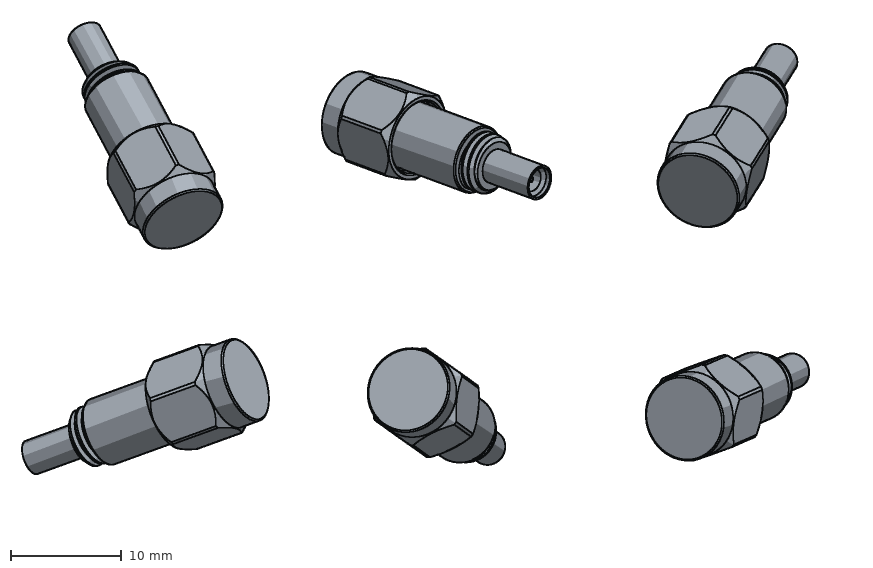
import cadquery as cq
import math


thread_start = 5.5
body_start = 7.5
nut_start = 14.86
nut_end = 21.1
total_length = 23.19

tube_radius = 1.6
mouth_radius = 1.4
mouth_depth = 0.45
bore_radius = 1.02
bore_taper_end = 0.75
bore_depth = 3.0
contact_base_radius = 0.385
contact_base_length = 0.8
pin_radius = 0.27
pin_length = 2.0
pin_tip_base_radius = 0.17
pin_tip_radius = 0.05
pin_tip_length = 0.15

thread_radius = 2.76
thread_root_radius = 2.3
thread_lead_radius = 2.27
thread_pitch = 0.75
thread_crest_width = 0.2
thread_root_width = 0.1
groove_top_station = 6.01
groove_clearance = 0.1
groove_start = thread_start - thread_pitch
groove_length = body_start + thread_pitch - groove_start

body_radius = 3.15
body_chamfer = 0.13

nut_across_flats = 7.9375
nut_corner_radius = 4.495
nut_rotation = 7.5
nut_chamfer_length = 0.7
collar_radius = 3.91
collar_chamfer = 0.14
recess_radius = 3.39
recess_mouth_radius = 3.55
recess_depth = 1.0


def revolve_profile(points):
    """Solid of revolution about X from (x, radius) points; the axis closes the outline."""
    return cq.Workplane("XY").polyline(points).close().revolve(360, (0, 0, 0), (1, 0, 0))


def cylinder(start, end, radius):
    return cq.Workplane("YZ", origin=(start, 0, 0)).circle(radius).extrude(end - start)


def make_thread_groove():
    """Trapezoidal groove swept along a helix about Z, then turned onto X."""
    outer_radius = thread_radius + groove_clearance
    root_half = thread_root_width / 2
    crest_gap_half = (thread_pitch - thread_crest_width) / 2
    flank_slope = (crest_gap_half - root_half) / (thread_radius - thread_root_radius)
    outer_half = root_half + flank_slope * (outer_radius - thread_root_radius)
    helix = cq.Wire.makeHelix(thread_pitch, groove_length, thread_root_radius)
    groove = (
        cq.Workplane("XZ")
        .polyline([
            (thread_root_radius, -root_half),
            (outer_radius, -outer_half),
            (outer_radius, outer_half),
            (thread_root_radius, root_half),
        ])
        .close()
        .sweep(cq.Workplane(obj=helix), isFrenet=True)
    )
    turn_to_station = 180 - 360 * (groove_top_station - groove_start) / thread_pitch
    return (
        groove.rotate((0, 0, 0), (0, 1, 0), 90)
        .rotate((0, 0, 0), (1, 0, 0), turn_to_station)
        .translate((groove_start, 0, 0))
    )


def make_thread():
    """Threaded length: a longer blank takes the whole groove, then is trimmed to the lead-in cone."""
    blank_start = groove_start - thread_pitch
    blank_end = groove_start + groove_length + thread_pitch
    grooved = cylinder(blank_start, blank_end, thread_radius).cut(make_thread_groove())
    thread_length = body_start - thread_start
    envelope = revolve_profile([
        (thread_start, 0),
        (thread_start, thread_lead_radius),
        (body_start, thread_lead_radius + thread_length),
        (body_start, 0),
    ])
    return grooved.intersect(envelope)


def make_body():
    return cylinder(body_start, nut_end, body_radius).faces("<X").chamfer(body_chamfer)


def make_nut():
    hex_circumdiameter = nut_across_flats / math.cos(math.pi / 6)
    hexagon = (
        cq.Workplane("YZ", origin=(nut_start, 0, 0))
        .polygon(6, hex_circumdiameter)
        .extrude(nut_end - nut_start)
        .rotate((0, 0, 0), (1, 0, 0), 90 - nut_rotation)
    )
    turned = revolve_profile([
        (nut_start, 0),
        (nut_start, collar_radius),
        (nut_start + nut_chamfer_length, nut_corner_radius),
        (nut_end - nut_chamfer_length, nut_corner_radius),
        (nut_end, collar_radius),
        (nut_end, 0),
    ])
    collar = cylinder(nut_end, total_length, collar_radius).faces(">X").chamfer(collar_chamfer)
    mouth_chamfer = recess_mouth_radius - recess_radius
    recess = revolve_profile([
        (nut_start, 0),
        (nut_start, recess_mouth_radius),
        (nut_start + mouth_chamfer, recess_radius),
        (nut_start + recess_depth, recess_radius),
        (nut_start + recess_depth, 0),
    ])
    return hexagon.intersect(turned).cut(recess).union(collar)


def make_bore():
    return revolve_profile([
        (0, 0),
        (0, mouth_radius),
        (mouth_depth, mouth_radius),
        (bore_taper_end, bore_radius),
        (bore_depth, bore_radius),
        (bore_depth, 0),
    ])


def make_contact():
    base_start = bore_depth - contact_base_length
    pin_start = bore_depth - pin_length
    return revolve_profile([
        (pin_start - pin_tip_length, 0),
        (pin_start - pin_tip_length, pin_tip_radius),
        (pin_start, pin_tip_base_radius),
        (pin_start, pin_radius),
        (base_start, pin_radius),
        (base_start, contact_base_radius),
        (bore_depth, contact_base_radius),
        (bore_depth, 0),
    ])


tube = cylinder(0, body_start, tube_radius)
result = (
    make_nut()
    .union(make_body())
    .union(make_thread())
    .union(tube)
    .cut(make_bore())
    .union(make_contact())
)